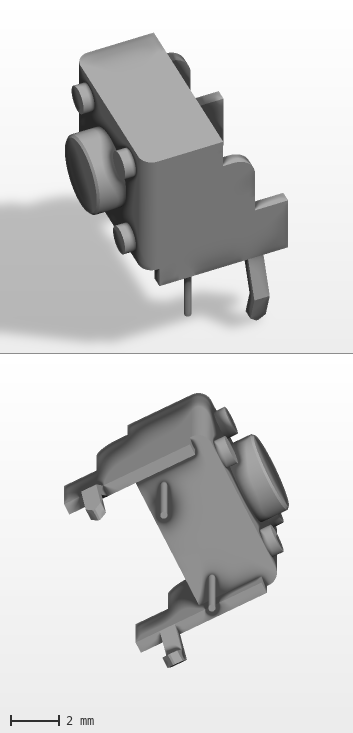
import cadquery as cq


housing_width = 7.2
housing_depth = 3.6
housing_bottom = 1.0
housing_top = 7.2
housing_edge_radius = 0.6

button_diameter = 3.5
button_height = 1.3
button_chamfer = 0.1
button_z = 4.0
rivet_diameter = 1.25
rivet_height = 0.5
rivet_offset = 2.15

sheet_thickness = 0.5
arm_front = 0.7
arm_shoulder_back = 5.05
arm_foot_back = 6.55
arm_foot_top = 2.7
arm_shoulder_top = 5.8
arm_shoulder_radius = 1.0

lead_length = 3.5
leg_width = 0.7
leg_y = 5.08
leg_bulge = 0.65
leg_tip_inset = 0.5
leg_bend_depth = 1.8
leg_tip_chamfer = 0.3
pin_diameter = 0.3
pin_x = 2.25
pin_to_leg_pitch = 2.5

half_width = housing_width / 2


def make_housing():
    """Block with its two vertical front edges rounded."""
    height = housing_top - housing_bottom
    block = cq.Workplane("XY").box(housing_width, housing_depth, height, centered=(True, False, False))
    rounded = block.edges("|Z and <Y").fillet(housing_edge_radius)
    return rounded.translate((0, 0, housing_bottom))


def front_plane():
    """XZ sketch plane on the housing front face, at button height, facing -Y."""
    return cq.Workplane("XZ", origin=(0, 0, button_z))


def make_button():
    """Round plunger with a chamfered rim."""
    plunger = front_plane().circle(button_diameter / 2).extrude(button_height)
    return plunger.faces("<Y").chamfer(button_chamfer)


def make_rivets():
    """Four rivet heads in a square around the button."""
    spacing = 2 * rivet_offset
    corners = front_plane().rect(spacing, spacing, forConstruction=True).vertices()
    return corners.circle(rivet_diameter / 2).extrude(rivet_height)


def make_arm():
    """Stepped side plate on the +X side, with a rounded rear shoulder."""
    return (
        cq.Workplane("YZ", origin=(half_width - sheet_thickness, 0, 0))
        .moveTo(arm_front, 0)
        .lineTo(arm_foot_back, 0)
        .lineTo(arm_foot_back, arm_foot_top)
        .lineTo(arm_shoulder_back, arm_foot_top)
        .lineTo(arm_shoulder_back, arm_shoulder_top - arm_shoulder_radius)
        .radiusArc((arm_shoulder_back - arm_shoulder_radius, arm_shoulder_top), -arm_shoulder_radius)
        .lineTo(arm_front, arm_shoulder_top)
        .close()
        .extrude(sheet_thickness)
    )


def make_leg():
    """Bent snap-in leg on the +X side, with both tip corners chamfered."""
    bulge_x = half_width + leg_bulge
    tip_x = bulge_x - leg_tip_inset
    outline = [
        (half_width, 0),
        (bulge_x, -leg_bend_depth),
        (tip_x, -lead_length),
        (tip_x - sheet_thickness, -lead_length),
        (bulge_x - sheet_thickness, -leg_bend_depth),
        (half_width - sheet_thickness, 0),
    ]
    bent_strip = (
        cq.Workplane("XZ", origin=(0, leg_y, 0))
        .polyline(outline)
        .close()
        .extrude(leg_width / 2, both=True)
    )
    pointed_envelope = (
        cq.Workplane("XY")
        .box(bulge_x, leg_width, lead_length, centered=(False, True, False))
        .edges("|X and <Z")
        .chamfer(leg_tip_chamfer)
        .translate((0, leg_y, -lead_length))
    )
    return bent_strip.intersect(pointed_envelope)


def make_pins():
    """Two round contact pins hanging from the housing underside."""
    pin_y = leg_y - pin_to_leg_pitch
    return (
        cq.Workplane("XY", origin=(0, 0, -lead_length))
        .pushPoints([(-pin_x, pin_y), (pin_x, pin_y)])
        .circle(pin_diameter / 2)
        .extrude(lead_length + housing_bottom)
    )


side_bracket = make_arm().union(make_leg())

result = (
    make_housing()
    .union(make_button())
    .union(make_rivets())
    .union(side_bracket)
    .union(side_bracket.mirror("YZ"))
    .union(make_pins())
)